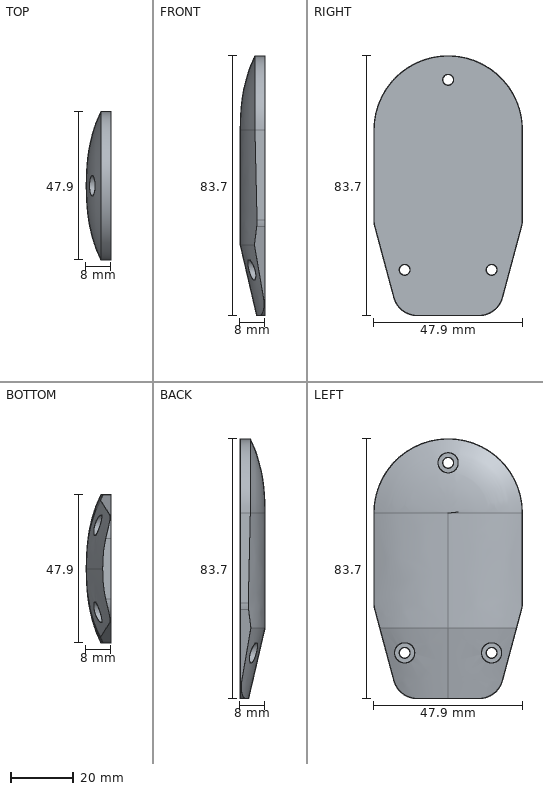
import cadquery as cq
import math

thickness = 8.0
half_width = 23.925
total_height = 83.7
bottom_z = half_width - total_height

taper_angle = math.radians(15)
shoulder_z = -30.0
corner_radius = 8.0
bottom_half_width = half_width - (shoulder_z - bottom_z) * math.tan(taper_angle)

crest_x = -thickness
rim_x = -3.25
bend_z = -37.0
bend_edge_x = -2.4
bend_half_width = half_width - (shoulder_z - bend_z) * math.tan(taper_angle)
bottom_crest_x = -2.7
bottom_edge_x = 1.2
bottom_reach = half_width * bottom_half_width / bend_half_width
edge_steepness = 2.5
overhang = 1.04
back_margin = 3.0

hole_diameter = 3.4
counterbore_diameter = 6.5
floor_thickness = 2.0
top_hole_z = 16.2
lower_hole_y = 14.0
lower_hole_z = -45.0


def crown_poles(crest, edge, reach):
    """Bezier poles (x, distance from the centre line) of a crown carried past the outline.

    The crown falls from the crest roughly as distance ** edge_steepness.
    """
    wide_reach = overhang * reach
    drop = (edge - crest) * overhang ** edge_steepness
    wide_edge = crest + drop
    inner_edge_pole = wide_edge - edge_steepness * drop / 3
    return [
        (crest, 0),
        (crest, wide_reach / 3),
        (inner_edge_pole, 2 * wide_reach / 3),
        (wide_edge, wide_reach),
    ]


def crown_section(z, crest, edge, reach):
    """Closed section at height z: crowned front and a flat back behind X = 0."""
    right = [cq.Vector(x, y, z) for x, y in crown_poles(crest, edge, reach)]
    left = [cq.Vector(p.x, -p.y, z) for p in reversed(right)]
    back_right = cq.Vector(back_margin, right[-1].y, z)
    back_left = cq.Vector(back_margin, -right[-1].y, z)
    return cq.Wire.assembleEdges([
        cq.Edge.makeBezier(left),
        cq.Edge.makeBezier(right),
        cq.Edge.makeLine(right[-1], back_right),
        cq.Edge.makeLine(back_right, back_left),
        cq.Edge.makeLine(back_left, left[0]),
    ])


def make_dome():
    """Half dome above Z = 0, revolved about the X axis."""
    poles = crown_poles(crest_x, rim_x, half_width)
    profile = (
        cq.Workplane("XY")
        .moveTo(back_margin, 0)
        .lineTo(crest_x, 0)
        .bezier(poles)
        .lineTo(back_margin, overhang * half_width)
        .close()
    )
    return profile.revolve(180, (0, 0, 0), (1, 0, 0))


def make_crowned_body():
    """Dome plus the ruled blocks running down to the bottom edge."""
    sections = [
        crown_section(0, crest_x, rim_x, half_width),
        crown_section(bend_z, crest_x, bend_edge_x, half_width),
        crown_section(bottom_z, bottom_crest_x, bottom_edge_x, bottom_reach),
    ]
    body = make_dome()
    for upper, lower in zip(sections, sections[1:]):
        body = body.union(cq.Workplane(cq.Solid.makeLoft([upper, lower], True)))
    return body


def make_outline():
    """Plate as thick as the part: round top, tapered bottom, shoulders and bottom corners rounded."""
    return (
        cq.Workplane("YZ")
        .moveTo(half_width, 0)
        .threePointArc((0, half_width), (-half_width, 0))
        .lineTo(-half_width, shoulder_z)
        .lineTo(-bottom_half_width, bottom_z)
        .lineTo(bottom_half_width, bottom_z)
        .lineTo(half_width, shoulder_z)
        .close()
        .extrude(-thickness)
        .edges("|X and (not >Z)")
        .fillet(corner_radius)
    )


def make_holes():
    """Counterbored screw holes along X, open toward the front."""
    centres = [(0, top_hole_z), (-lower_hole_y, lower_hole_z), (lower_hole_y, lower_hole_z)]
    plane = cq.Workplane("YZ").pushPoints(centres)
    through = plane.circle(hole_diameter / 2).extrude(-thickness)
    bores = (
        cq.Workplane("YZ", origin=(-floor_thickness, 0, 0))
        .pushPoints(centres)
        .circle(counterbore_diameter / 2)
        .extrude(floor_thickness - thickness)
    )
    return through.union(bores)


result = make_outline().intersect(make_crowned_body()).cut(make_holes())